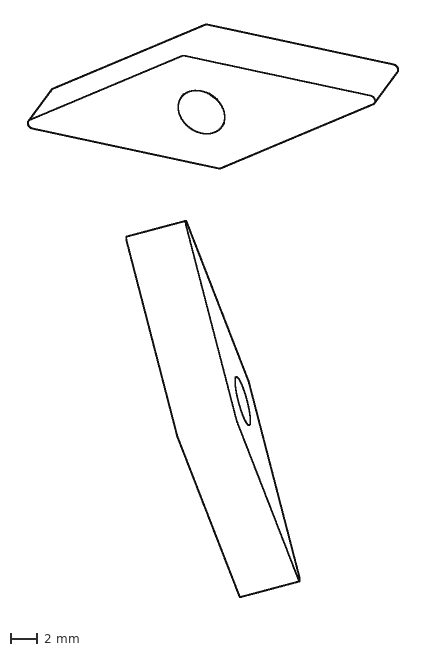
import cadquery as cq
import math

overall_length = 28.47
height = 9.55
thickness = 4.75
acute_angle = math.radians(35)
hole_diameter = 3.81

side = height / math.sin(acute_angle)
lean = height / math.tan(acute_angle)
half_length = (side + lean) / 2
half_height = height / 2
corners = [
    (-half_length, -half_height),
    (half_length - lean, -half_height),
    (half_length, half_height),
    (lean - half_length, half_height),
]

setback_per_radius = 1 / math.tan(acute_angle / 2) - 1
nose_radius = (half_length - overall_length / 2) / setback_per_radius

back_face = cq.Workplane("XZ", origin=(0, thickness / 2, 0))

body = back_face.polyline(corners).close().extrude(thickness).edges("|Y").fillet(nose_radius)

hole = back_face.circle(hole_diameter / 2).extrude(thickness)

result = body.cut(hole)